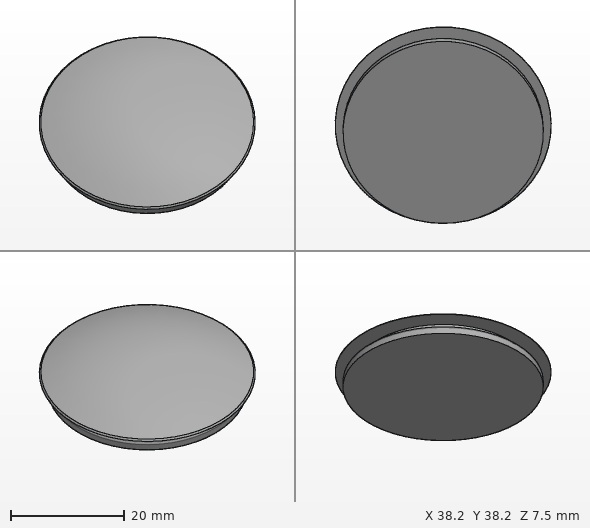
import cadquery as cq

cap_diameter = 38.2
neck_diameter = 31.5
flange_diameter = 35.4
total_height = 7.5
flange_thickness = 1.5
neck_height = 1.6
flange_fillet = 0.3
rim_chamfer = 0.3

cap_radius = cap_diameter / 2
neck_radius = neck_diameter / 2
flange_radius = flange_diameter / 2
cap_underside = flange_thickness + neck_height
dome_edge_radius = cap_radius - rim_chamfer
dome_base = cap_underside + rim_chamfer
dome_rise = total_height - dome_base
dome_sphere_radius = (dome_edge_radius**2 + dome_rise**2) / (2 * dome_rise)


def make_flange():
    """Round base flange with a rounded upper edge."""
    disc = cq.Workplane("XY").circle(flange_radius).extrude(flange_thickness)
    return disc.faces(">Z").edges().fillet(flange_fillet)


def make_neck():
    """Narrower cylinder joining the flange to the cap."""
    return cq.Workplane("XY").circle(neck_radius).extrude(cap_underside)


def make_cap():
    """Cap with a sharp bevelled rim and a spherical dome."""
    sphere_centre = total_height - dome_sphere_radius
    mid_radius = dome_edge_radius / 2
    mid_height = sphere_centre + (dome_sphere_radius**2 - mid_radius**2) ** 0.5
    half_profile = (
        cq.Workplane("XZ")
        .moveTo(0, cap_underside)
        .lineTo(cap_radius, cap_underside)
        .lineTo(dome_edge_radius, dome_base)
        .threePointArc((mid_radius, mid_height), (0, total_height))
        .close()
    )
    return half_profile.revolve(360, (0, 0, 0), (0, 1, 0))


result = make_flange().union(make_neck()).union(make_cap())